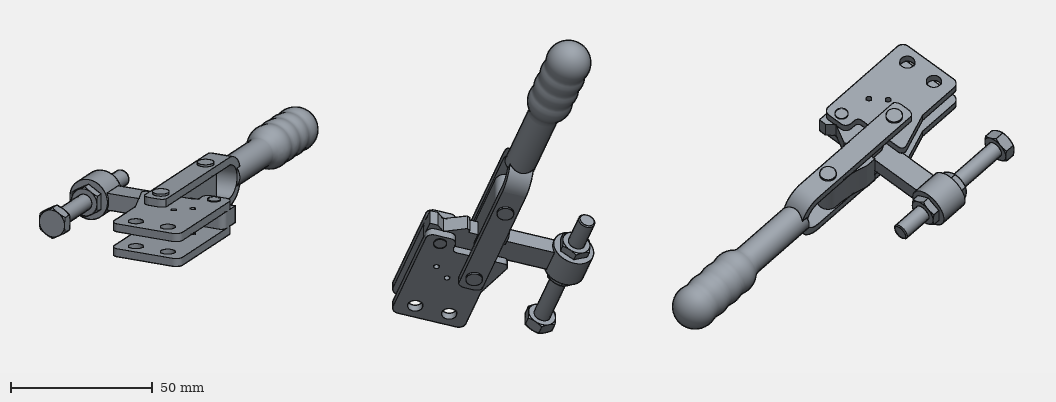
import cadquery as cq
import math


ARM_SPAN = 6.3
PLATES_SPAN = 12.3
FORK_SPAN = 18.2
PIN_SPAN = 19.8
ARM_PIN_SPAN = 13.0

BASE_PIVOT = (0, 28.0)
LINK_PIVOT = (0, 62.7)
ARM_PIVOT = (16.0, 38.0)
FORK_PIN_DIAMETER = 5.9
ARM_PIN_DIAMETER = 4.6

PLATE_LEFT = -5.5
PLATE_RIGHT = 21.6
PLATE_TOP = 41.4
SHOULDER_Y = 35.4
EAR_LEFT = 10.7
NOSE_X = -11.1
SLANT_END_Y = 19.2
FOOT_RADIUS = 2.7
EAR_RADIUS = 2.5
EAR_FILLET = 1.7
NOSE_RADIUS = 1.7
GAP_REACH = 140.3
MOUNT_HOLE_DIAMETER = 5.3
MOUNT_HOLE_Y = 5.5
MOUNT_HOLES_X = (1.7, 14.3)
SMALL_HOLE_DIAMETER = 2.0
SMALL_HOLES = [(8.1, 22.3), (13.5, 26.5)]

ARM_BOTTOM = 34.7
ARM_TOP = 43.5
ARM_CORNER_RADIUS = 2.2
HOOK_LEFT = 7.2
HOOK_SHOULDER_Y = 44.6
HOOK_PEAK = (8.3, 45.2)
NOTCH_BOTTOM = (15.9, 41.1)
NOTCH_RIGHT = 18.7

BOLT_X = -31.5
COLLAR_DIAMETER = 14.9
COLLAR_BOTTOM = 33.7
COLLAR_HEIGHT = 11.1
BOLT_DIAMETER = 6.0
BOLT_TIP_Y = 59.5
BOLT_TIP_CHAMFER = 0.4
HEX_FLATS = 10.0
UPPER_NUT_HEIGHT = 3.0
LOWER_NUT_HEIGHT = 3.4
HEAD_BOTTOM = 5.3
HEAD_HEIGHT = 4.4
HEX_CHAMFER_ANGLE = 30

FORK_WIDTH = 8.7
FORK_BOTTOM = 22.5
FORK_TOE_RADIUS = 3.4
FORK_TOE_FLAT = 3.4
FORK_BEND_Y = 72.4

LINK_FOOT_Y = 39.6
LINK_RADIUS = 3.8
STOP_X = -6.0
STOP_BOTTOM = 44.8
STOP_TOP = 48.8

HANDLE_TOP = 140.3
ROD_RADIUS = 5.5
BALL_RADIUS = 8.0
BALL_PITCH = 6.7
BALL_COUNT = 4
BLEND_RADIUS = 4.9


def slab(outline, span):
    """Extrude an XY outline evenly to both sides of the mid-plane."""
    return outline.extrude(span / 2, both=True)


def pin(centre, diameter, span):
    return slab(cq.Workplane("XY").center(*centre).circle(diameter / 2), span)


def along_y(x, y):
    """Workplane at (x, y) whose normal points along +Y."""
    return cq.Workplane("XZ", origin=(x, y, 0)).transformed(rotate=(180, 0, 0))


def side_plates():
    outline = (
        cq.Workplane("XY")
        .moveTo(PLATE_LEFT, 0)
        .lineTo(PLATE_RIGHT, 0)
        .lineTo(PLATE_RIGHT, PLATE_TOP)
        .lineTo(EAR_LEFT, PLATE_TOP)
        .lineTo(EAR_LEFT, SHOULDER_Y)
        .lineTo(NOSE_X, SHOULDER_Y)
        .lineTo(PLATE_LEFT, SLANT_END_Y)
        .close()
    )

    def corner(x, y):
        """Select the upright edges at one corner of the plate outline."""
        reach = 0.1
        low = (x - reach, y - reach, -PLATES_SPAN)
        high = (x + reach, y + reach, PLATES_SPAN)
        return cq.selectors.BoxSelector(low, high)

    plates = slab(outline, PLATES_SPAN)
    for x in (PLATE_LEFT, PLATE_RIGHT):
        plates = plates.edges("|Z").edges(corner(x, 0)).fillet(FOOT_RADIUS)
    for x in (EAR_LEFT, PLATE_RIGHT):
        plates = plates.edges("|Z").edges(corner(x, PLATE_TOP)).fillet(EAR_RADIUS)
    plates = plates.edges("|Z").edges(corner(EAR_LEFT, SHOULDER_Y)).fillet(EAR_FILLET)
    plates = plates.edges("|Z").edges(corner(NOSE_X, SHOULDER_Y)).fillet(NOSE_RADIUS)

    mount_holes = [(x, MOUNT_HOLE_Y) for x in MOUNT_HOLES_X]
    holes = cq.Workplane("XY").pushPoints(mount_holes).circle(MOUNT_HOLE_DIAMETER / 2)
    plates = plates.cut(slab(holes, PLATES_SPAN))
    holes = cq.Workplane("XY").pushPoints(SMALL_HOLES).circle(SMALL_HOLE_DIAMETER / 2)
    plates = plates.cut(slab(holes, PLATES_SPAN))

    gap = cq.Workplane("XY").rect(GAP_REACH, GAP_REACH)
    return plates.cut(slab(gap, ARM_SPAN))


def arm():
    outline = (
        cq.Workplane("XY")
        .moveTo(BOLT_X, ARM_BOTTOM)
        .lineTo(PLATE_RIGHT, ARM_BOTTOM)
        .lineTo(PLATE_RIGHT, ARM_TOP)
        .lineTo(NOTCH_RIGHT, ARM_TOP)
        .lineTo(*NOTCH_BOTTOM)
        .lineTo(*HOOK_PEAK)
        .lineTo(HOOK_LEFT, HOOK_SHOULDER_Y)
        .lineTo(HOOK_LEFT, ARM_TOP)
        .lineTo(BOLT_X, ARM_TOP)
        .close()
    )
    body = slab(outline, ARM_SPAN)
    body = body.edges("|Z").edges(">X").edges("<Y").fillet(ARM_CORNER_RADIUS)
    collar = along_y(BOLT_X, COLLAR_BOTTOM).circle(COLLAR_DIAMETER / 2).extrude(COLLAR_HEIGHT)
    return body.union(collar)


def hexagon(bottom, height, turn_bottom=True, turn_top=True):
    """Hex around the bolt axis with its corners up and down, turned to a cone at the chosen ends."""
    corner_radius = HEX_FLATS / math.sqrt(3)
    inset = corner_radius - HEX_FLATS / 2
    drop = inset * math.tan(math.radians(HEX_CHAMFER_ANGLE))
    corner_turn = 360 / 6 / 2
    blank = along_y(BOLT_X, bottom).polygon(6, 2 * corner_radius).extrude(height)
    blank = blank.rotate((BOLT_X, 0, 0), (BOLT_X, 1, 0), corner_turn)
    turned = along_y(BOLT_X, bottom).circle(corner_radius).extrude(height)
    if turn_bottom:
        turned = turned.faces("<Y").chamfer(drop, inset)
    if turn_top:
        turned = turned.faces(">Y").chamfer(drop, inset)
    return blank.intersect(turned)


def bolt():
    shank = along_y(BOLT_X, HEAD_BOTTOM).circle(BOLT_DIAMETER / 2).extrude(BOLT_TIP_Y - HEAD_BOTTOM)
    shank = shank.faces(">Y").chamfer(BOLT_TIP_CHAMFER)
    head = hexagon(HEAD_BOTTOM, HEAD_HEIGHT)
    lower_nut = hexagon(COLLAR_BOTTOM - LOWER_NUT_HEIGHT, LOWER_NUT_HEIGHT, turn_top=False)
    upper_nut = hexagon(COLLAR_BOTTOM + COLLAR_HEIGHT, UPPER_NUT_HEIGHT, turn_bottom=False)
    return shank.union(head).union(lower_nut).union(upper_nut)


def u_shape(span):
    """Solid whose YZ outline is a strip of height span, closed by a half circle at the bend."""
    half = span / 2
    outline = (
        cq.Workplane("YZ")
        .moveTo(FORK_BOTTOM, -half)
        .lineTo(FORK_BEND_Y, -half)
        .threePointArc((FORK_BEND_Y + half, 0), (FORK_BEND_Y, half))
        .lineTo(FORK_BOTTOM, half)
        .close()
    )
    return outline.extrude(FORK_WIDTH, both=True)


def fork_and_handle():
    half_width = FORK_WIDTH / 2
    half_flat = FORK_TOE_FLAT / 2
    run = half_width - half_flat
    toe_rise = FORK_TOE_RADIUS - math.sqrt(FORK_TOE_RADIUS**2 - run**2)
    bend_top = FORK_BEND_Y + FORK_SPAN / 2
    outline = (
        cq.Workplane("XY")
        .moveTo(-half_flat, FORK_BOTTOM)
        .lineTo(half_flat, FORK_BOTTOM)
        .radiusArc((half_width, FORK_BOTTOM + toe_rise), -FORK_TOE_RADIUS)
        .lineTo(half_width, bend_top)
        .lineTo(-half_width, bend_top)
        .lineTo(-half_width, FORK_BOTTOM + toe_rise)
        .radiusArc((-half_flat, FORK_BOTTOM), -FORK_TOE_RADIUS)
        .close()
    )
    strap = slab(outline, FORK_SPAN).intersect(u_shape(FORK_SPAN))
    return strap.union(handle()).cut(u_shape(PLATES_SPAN))


def handle():
    """Rod and grip, turned about the Y axis."""
    rod_start = FORK_BEND_Y + PLATES_SPAN / 2
    top_ball_y = HANDLE_TOP - BALL_RADIUS
    balls_y = [top_ball_y - step * BALL_PITCH for step in reversed(range(BALL_COUNT))]

    reach = BALL_RADIUS + BLEND_RADIUS
    touch = BALL_RADIUS / reach
    neck_centre_x = ROD_RADIUS + BLEND_RADIUS
    neck_drop = math.sqrt(reach**2 - neck_centre_x**2)
    waist_drop = BALL_PITCH / 2
    waist_centre_x = math.sqrt(reach**2 - waist_drop**2)

    profile = (
        cq.Workplane("XY")
        .moveTo(0, rod_start)
        .lineTo(ROD_RADIUS, rod_start)
        .lineTo(ROD_RADIUS, balls_y[0] - neck_drop)
        .radiusArc((neck_centre_x * touch, balls_y[0] - neck_drop * touch), BLEND_RADIUS)
    )
    for lower_y, upper_y in zip(balls_y, balls_y[1:]):
        middle = lower_y + waist_drop
        profile = (
            profile.tangentArcPoint((BALL_RADIUS, lower_y), relative=False)
            .tangentArcPoint((waist_centre_x * touch, lower_y + waist_drop * touch), relative=False)
            .tangentArcPoint((waist_centre_x - BLEND_RADIUS, middle), relative=False)
            .tangentArcPoint((waist_centre_x * touch, upper_y - waist_drop * touch), relative=False)
        )
    profile = (
        profile.tangentArcPoint((BALL_RADIUS, top_ball_y), relative=False)
        .tangentArcPoint((0, HANDLE_TOP), relative=False)
        .close()
    )
    return profile.revolve(360, (0, 0, 0), (0, 1, 0))


def link():
    x, y = LINK_PIVOT
    left = x - LINK_RADIUS
    right = x + LINK_RADIUS
    outline = (
        cq.Workplane("XY")
        .moveTo(left, LINK_FOOT_Y)
        .threePointArc((x, LINK_FOOT_Y - LINK_RADIUS), (right, LINK_FOOT_Y))
        .lineTo(right, y)
        .threePointArc((x, y + LINK_RADIUS), (left, y))
        .tangentArcPoint((STOP_X, STOP_TOP), relative=False)
        .lineTo(STOP_X, STOP_BOTTOM)
        .lineTo(left, STOP_BOTTOM)
        .close()
    )
    return slab(outline, PLATES_SPAN)


result = (
    side_plates()
    .union(arm())
    .union(bolt())
    .union(fork_and_handle())
    .union(link())
    .union(pin(BASE_PIVOT, FORK_PIN_DIAMETER, PIN_SPAN))
    .union(pin(LINK_PIVOT, FORK_PIN_DIAMETER, PIN_SPAN))
    .union(pin(ARM_PIVOT, ARM_PIN_DIAMETER, ARM_PIN_SPAN))
)